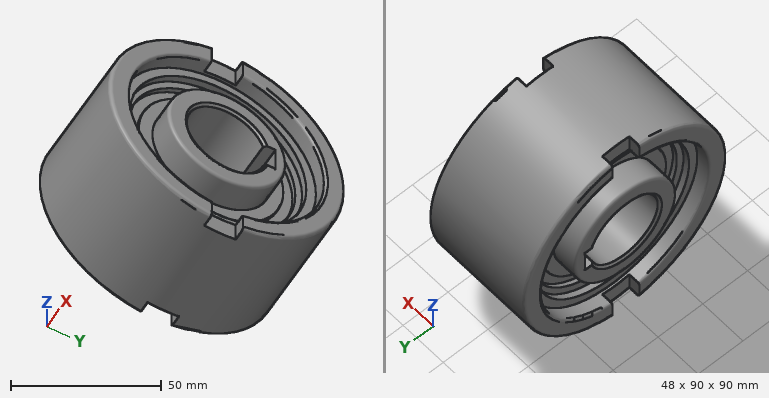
import cadquery as cq

outer_radius = 45
width = 48.0
half_width = width / 2
outer_edge_fillet = 1.35

recess_radius = 37.4
lip_depth = 6.3
lip_radius = 33.75
lip_thickness = 2.8
groove_depth = 10.2
floor_radius = 31.8
floor_depth = 12.15
collar_radius = 27.6
collar_height = 1.2
recess_mouth_fillet = 1.0

hub_radius = 22.5
hub_edge_fillet = 1.2
bore_radius = 15.0
bore_chamfer = 1.0
keyway_width = 10.0
keyway_reach = 18.4

slot_width = 12.0
slot_depth = 5.0


def cylinder(radius, start, length):
    """Cylinder along +X, beginning at X = start."""
    return cq.Workplane("YZ", origin=(start, 0, 0)).circle(radius).extrude(length)


def end_recess():
    """Annular recess around the hub, opening at the -X end, with an undercut behind its lip."""
    lip_back = lip_depth + lip_thickness
    recess = cylinder(recess_radius, -half_width, lip_depth)
    recess = recess.union(cylinder(lip_radius, -half_width, groove_depth))
    recess = recess.union(cylinder(recess_radius, -half_width + lip_back, groove_depth - lip_back))
    recess = recess.union(cylinder(floor_radius, -half_width, floor_depth))
    collar = cylinder(collar_radius, -half_width + floor_depth - collar_height, collar_height)
    return recess.cut(collar).cut(cylinder(hub_radius, -half_width, floor_depth))


def ring_and_hub():
    """Solid body with both end recesses, the bore and rounded edges."""
    body = cylinder(outer_radius, -half_width, width)
    recess = end_recess()
    body = body.cut(recess).cut(recess.mirror("YZ"))
    body = body.cut(cylinder(bore_radius, -half_width, width))

    def end_edges(radius):
        def on_circle(edge):
            at_end = abs(abs(edge.Center().x) - half_width) < 0.01
            return at_end and edge.geomType() == "CIRCLE" and abs(edge.radius() - radius) < 0.01
        return [edge for edge in body.edges().vals() if on_circle(edge)]

    for radius, fillet in [
        (outer_radius, outer_edge_fillet),
        (recess_radius, recess_mouth_fillet),
        (hub_radius, hub_edge_fillet),
    ]:
        body = body.newObject(end_edges(radius)).fillet(fillet)
    return body.newObject(end_edges(bore_radius)).chamfer(bore_chamfer)


def keyway():
    """Keyway cutter running the full width on the +Y side of the bore."""
    return cq.Workplane("XY").box(width, keyway_reach, keyway_width).translate((0, keyway_reach / 2, 0))


def rim_slot(end, side):
    """Slot cutter through the rim at one end (-1 or +1 in X) and side (-1 or +1 in Z)."""
    inner = (hub_radius + recess_radius) / 2
    height = outer_radius - inner
    slot = cq.Workplane("XY").box(slot_depth, slot_width, height)
    return slot.translate((end * (half_width - slot_depth / 2), 0, side * (inner + height / 2)))


result = ring_and_hub().cut(keyway())
for end in (-1, 1):
    for side in (-1, 1):
        result = result.cut(rim_slot(end, side))